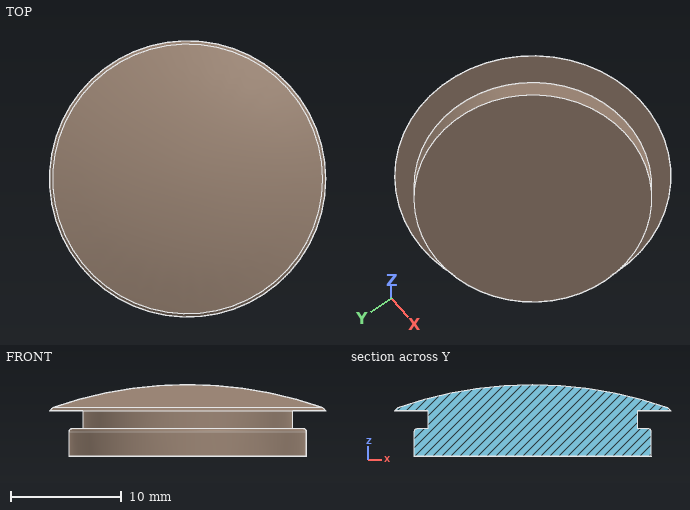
import cadquery as cq

cap_diameter = 25.0
height = 6.5

ring_diameter = 21.5
ring_height = 2.52
ring_edge_radius = 0.3
neck_diameter = 19.0

rim_bottom = 4.12
rim_height = 0.3
dome_diameter = 24.4

cap_radius = cap_diameter / 2
ring_radius = ring_diameter / 2
neck_radius = neck_diameter / 2
dome_radius = dome_diameter / 2
dome_base = rim_bottom + rim_height

dome_rise = height - dome_base
sphere_radius = (dome_radius**2 + dome_rise**2) / (2 * dome_rise)
dome_mid_radius = dome_radius / 2
sphere_center = height - sphere_radius
dome_mid_height = sphere_center + (sphere_radius**2 - dome_mid_radius**2) ** 0.5

profile = (
    cq.Workplane("XZ")
    .moveTo(0, 0)
    .lineTo(ring_radius, 0)
    .lineTo(ring_radius, ring_height - ring_edge_radius)
    .radiusArc((ring_radius - ring_edge_radius, ring_height), -ring_edge_radius)
    .lineTo(neck_radius, ring_height)
    .lineTo(neck_radius, rim_bottom)
    .lineTo(cap_radius, rim_bottom)
    .lineTo(dome_radius, dome_base)
    .threePointArc((dome_mid_radius, dome_mid_height), (0, height))
    .close()
)

result = profile.revolve(360, (0, 0, 0), (0, 1, 0))